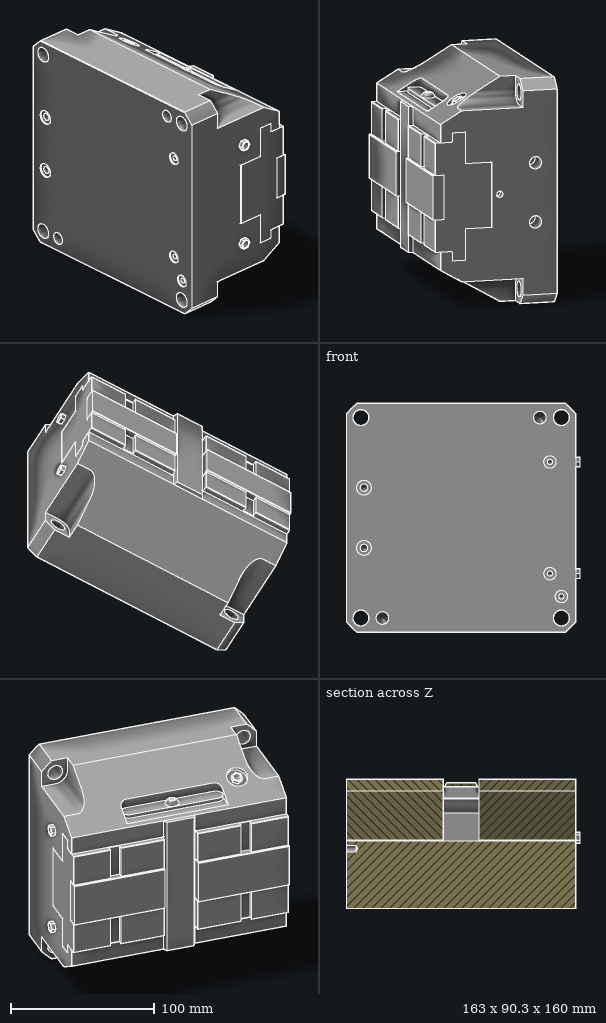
import cadquery as cq
import math


width = 160.0
half_width = width / 2
depth = 85.0
slope_angle = 30.0
front_half_height = 51.8
slope_end_y = depth - (half_width - front_half_height) / math.tan(math.radians(slope_angle))
corner_radius = 108.0
flange_thickness = 25.0
edge_break = 0.3

bolt_spacing = 139.9
bolt_hole_diameter = 11.0
pocket_radius = 9.1
pocket_inner_edge = bolt_spacing / 2 - pocket_radius

drill_tip_angle = 118.0
dowel_hole_diameter = 8.8
dowel_hole_depth = 16.3
dowel_offset_x = 55.0
port_spacing_z = 42.0
side_port_y = 15.8
side_port_diameter = 8.6
side_port_depth = 16.3
vent_y = 41.7
vent_diameter = 4.4
vent_depth = 6.5
seal_recess_depth = 1.0
port_hole_depth = 8.2
air_port_x = -67.8
air_recess_diameter = 10.3
air_hole_diameter = 5.2
purge_recess_diameter = 8.6
purge_hole_diameter = 3.6
purge_ports = [(62.0, 39.0), (62.0, -39.0), (70.0, -55.0)]

slope_pocket_length = 75.3
slope_pocket_bottom_y = 65.7
slope_pocket_top_y = 82.3
slope_pocket_floor_z = front_half_height + (depth - slope_pocket_top_y) * math.tan(math.radians(slope_angle))
pad_width = 10.1
pad_height = 2.8
pad_y = slope_pocket_bottom_y + pad_width / 2
pad_top_z = slope_pocket_floor_z + pad_height

dome_diameter = 9.8
dome_flat_diameter = 4.5
dome_height = 3.3
dome_socket_size = 3.3
dome_socket_depth = 1.6

hex_size = 6.8
hex_height = 3.0
hex_dimple_diameter = 5.5
plug_bore_diameter = 15.0
slope_plug_x = -50.7
slope_plug_y = 64.7
side_plug_y = 49.4
side_plug_spacing_z = 77.9

jaw_front_y = 88.8
jaw_back_y = 47.8
jaw_neck_half_height = 38.8
wing_half_height = 45.5
wing_front_y = 76.3
wing_back_y = 66.5
jaw_stem_half_height = 23.1
neck_corner_chamfer = 0.7
jaw_back_clearance = 0.5
jaw_inner_x = 12.4
jaw_length = half_width - jaw_inner_x
groove_x = 48.5
groove_width = 7.8
groove_floor_y = 85.5

key_height = 31.6
key_front_y = 90.3
key_back_y = 82.3

cover_thickness = 3.0
cover_half_length = 11.7
cover_end_angle = 30.0

slope_normal = (0, math.sin(math.radians(slope_angle)), math.cos(math.radians(slope_angle)))


def drill(diameter, hole_depth):
    """Blind drilled hole with a conical tip, opening at the origin and running along +Z."""
    radius = diameter / 2
    tip = radius / math.tan(math.radians(drill_tip_angle / 2))
    profile = [(0, 0), (radius, 0), (radius, hole_depth), (0, hole_depth + tip)]
    return cq.Workplane("XZ").polyline(profile).close().revolve(360, (0, 0), (0, 1))


def drill_back(diameter, hole_depth, x, z):
    """Drilled hole in the mounting face."""
    return drill(diameter, hole_depth).rotate((0, 0, 0), (1, 0, 0), -90).translate((x, 0, z))


def drill_side(diameter, hole_depth, y, z):
    """Drilled hole in the -X side."""
    return drill(diameter, hole_depth).rotate((0, 0, 0), (0, 1, 0), 90).translate((-half_width, y, z))


def extrude_along_x(outline_yz, x_start, length):
    return cq.Workplane("YZ").workplane(offset=x_start).polyline(outline_yz).close().extrude(length)


def jaw_outline(back_y):
    """T-shaped section of a jaw or its guide as (Y, Z) points."""
    upper = [
        (jaw_front_y, jaw_neck_half_height),
        (wing_front_y + neck_corner_chamfer, jaw_neck_half_height),
        (wing_front_y, jaw_neck_half_height + neck_corner_chamfer),
        (wing_front_y, wing_half_height),
        (wing_back_y, wing_half_height),
        (wing_back_y, jaw_stem_half_height),
        (back_y, jaw_stem_half_height),
    ]
    lower = [(y, -z) for y, z in reversed(upper)]
    return upper + lower


def corner_pocket(x_side, z_side):
    """Rounded corner cut in front of the flange that clears a bolt head."""
    size = half_width - pocket_inner_edge
    center = pocket_inner_edge + size
    return (
        cq.Workplane("XY")
        .box(2 * size, depth, 2 * size, centered=(True, False, True))
        .edges("|Y")
        .fillet(pocket_radius)
        .translate((x_side * center, flange_thickness, z_side * center))
    )


def recessed_port(x, z, recess_diameter, hole_diameter):
    """Air port in the mounting face with a shallow recess for a seal."""
    recess = cq.Workplane("XZ").center(x, z).circle(recess_diameter / 2).extrude(-seal_recess_depth)
    return recess.union(drill_back(hole_diameter, port_hole_depth, x, z))


def slope_pocket():
    """Pocket in the +Z slope, leaving a round-ended pad standing on its floor."""
    height = slope_pocket_top_y - slope_pocket_bottom_y
    pocket = (
        cq.Workplane("XY")
        .box(slope_pocket_length, height, half_width, centered=(True, False, False))
        .edges("|Z and <Y")
        .fillet(pad_width / 2)
        .translate((0, slope_pocket_bottom_y, slope_pocket_floor_z))
    )
    pad = (
        cq.Workplane("XY", origin=(0, pad_y, slope_pocket_floor_z))
        .slot2D(slope_pocket_length, pad_width)
        .extrude(pad_height)
    )
    return pocket.cut(pad)


def slope_plane():
    """Plane on the +Z slope, centred on its hex plug and facing outwards."""
    z = front_half_height + (depth - slope_plug_y) * math.tan(math.radians(slope_angle))
    return cq.Plane(origin=(slope_plug_x, slope_plug_y, z), xDir=(1, 0, 0), normal=slope_normal)


def plug_bore():
    return cq.Workplane(slope_plane()).circle(plug_bore_diameter / 2).extrude(-hex_height)


def make_housing():
    outline = [
        (0, half_width),
        (slope_end_y, half_width),
        (depth, front_half_height),
        (depth, -front_half_height),
        (slope_end_y, -half_width),
        (0, -half_width),
    ]
    body = extrude_along_x(outline, -half_width, width)
    body = body.intersect(cq.Workplane("XZ").circle(corner_radius).extrude(-depth))
    body = body.faces("<Y").edges("<Z or >Z").chamfer(edge_break)
    body = body.faces(">Y").edges("|Z").chamfer(edge_break)
    body = body.cut(extrude_along_x(jaw_outline(jaw_back_y - jaw_back_clearance), -half_width, width))
    for x_side in (-1, 1):
        for z_side in (-1, 1):
            body = body.cut(corner_pocket(x_side, z_side))
    body = body.cut(
        cq.Workplane("XZ")
        .rect(bolt_spacing, bolt_spacing, forConstruction=True)
        .vertices()
        .circle(bolt_hole_diameter / 2)
        .extrude(-flange_thickness)
    )
    for side in (-1, 1):
        port_z = side * port_spacing_z / 2
        body = body.cut(
            drill_back(dowel_hole_diameter, dowel_hole_depth, side * dowel_offset_x, side * bolt_spacing / 2)
        )
        body = body.cut(recessed_port(air_port_x, port_z, air_recess_diameter, air_hole_diameter))
        body = body.cut(drill_side(side_port_diameter, side_port_depth, side_port_y, port_z))
    for x, z in purge_ports:
        body = body.cut(recessed_port(x, z, purge_recess_diameter, purge_hole_diameter))
    body = body.cut(drill_side(vent_diameter, vent_depth, vent_y, 0))
    return body.cut(slope_pocket()).cut(plug_bore())


def make_jaw(side):
    """Sliding jaw with a cross groove and a slot for its key; side is -1 or 1 along X."""
    middle_x = side * (jaw_inner_x + jaw_length / 2)
    groove_depth = key_front_y - groove_floor_y
    groove = (
        cq.Workplane("XY")
        .box(groove_width, groove_depth, width, centered=(True, False, True))
        .translate((side * groove_x, groove_floor_y, 0))
    )
    jaw = extrude_along_x(jaw_outline(jaw_back_y), middle_x - jaw_length / 2, jaw_length)
    jaw = jaw.faces(">Y").chamfer(edge_break)
    return jaw.cut(groove).cut(make_key(side))


def make_key(side):
    """Bar set into the front of a jaw."""
    middle_x = side * (jaw_inner_x + jaw_length / 2)
    return (
        cq.Workplane("XY")
        .box(jaw_length, key_front_y - key_back_y, key_height, centered=(True, False, True))
        .faces(">Y")
        .edges("|X")
        .chamfer(edge_break)
        .translate((middle_x, key_back_y, 0))
    )


def make_cover():
    """Plate between the jaws on the front face, with sloping ends."""
    top_half_length = cover_half_length - cover_thickness * math.tan(math.radians(cover_end_angle))
    outline = [
        (-cover_half_length, depth),
        (cover_half_length, depth),
        (top_half_length, depth + cover_thickness),
        (-top_half_length, depth + cover_thickness),
    ]
    return cq.Workplane("XY").polyline(outline).close().extrude(front_half_height, both=True)


def make_hex_plug(plane):
    """Hexagonal plug standing on a plane, with a conical dimple in its end."""
    across_corners = hex_size / math.cos(math.radians(30))
    dimple_radius = hex_dimple_diameter / 2
    dimple_depth = dimple_radius / math.tan(math.radians(drill_tip_angle / 2))
    dimple = cq.Solid.makeCone(
        dimple_radius, 0, dimple_depth, plane.origin + plane.zDir * hex_height, plane.zDir * -1
    )
    plug = cq.Workplane(plane).transformed(rotate=(0, 0, 90)).polygon(6, across_corners).extrude(hex_height)
    return plug.cut(cq.Workplane(dimple))


def make_dome_screw():
    """Domed screw head with a hexagon socket, standing on the pad."""
    radius = dome_diameter / 2
    flat_radius = dome_flat_diameter / 2
    head = (
        cq.Workplane("XZ")
        .lineTo(radius, 0)
        .radiusArc((flat_radius, dome_height), -radius)
        .lineTo(0, dome_height)
        .close()
        .revolve(360, (0, 0), (0, 1))
    )
    across_corners = dome_socket_size / math.cos(math.radians(30))
    socket = (
        cq.Workplane("XY").workplane(offset=dome_height).polygon(6, across_corners).extrude(-dome_socket_depth)
    )
    return head.cut(socket).translate((0, pad_y, pad_top_z))


hex_plug_planes = [
    cq.Plane(origin=(half_width, side_plug_y, side * side_plug_spacing_z / 2), xDir=(0, 0, 1), normal=(1, 0, 0))
    for side in (-1, 1)
]
slope_bore_floor = cq.Plane(
    origin=slope_plane().origin - slope_plane().zDir * hex_height, xDir=(1, 0, 0), normal=slope_normal
)
hex_plug_planes.append(slope_bore_floor)

housing = make_housing()
jaws = [make_jaw(side) for side in (-1, 1)]
keys = [make_key(side) for side in (-1, 1)]
cover = make_cover()
hex_plugs = [make_hex_plug(plane) for plane in hex_plug_planes]
dome_screw = make_dome_screw()

bodies = [housing, *jaws, *keys, cover, *hex_plugs, dome_screw]
result = cq.Compound.makeCompound([body.val() for body in bodies])